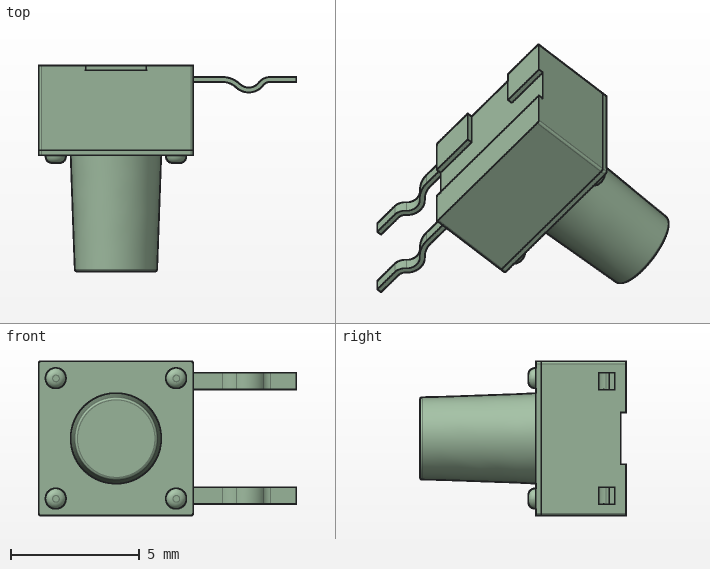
import cadquery as cq
import math


case_width = 6.0
case_depth = 3.5
cover_thickness = 0.2
corner_radius = 0.1
housing_depth = case_depth - cover_thickness
cover_front_y = -case_depth

recess_depth = 0.2
channel_height = 2.0
top_notch_width = 2.36

rivet_diameter = 0.8
rivet_height = 0.3
rivet_round = 0.27
rivet_spacing = 4.67

button_base_diameter = 3.52
button_tip_diameter = 3.2
button_length = 4.5
button_tip_round = 0.1

lead_length = 4.0
lead_thickness = 0.2
lead_width = 0.66
lead_spacing = 4.44
lead_back_y = -0.45
lead_front_y = lead_back_y - lead_thickness

bump_start = 1.12
bump_height = 0.41
entry_radius = 0.8
crest_radius = 0.7
exit_radius = 0.35


def case_block(back_y, depth):
    """Square block with rounded corners that runs from back_y toward -Y."""
    return (
        cq.Workplane("XZ", origin=(0, back_y, 0))
        .rect(case_width, case_width)
        .extrude(depth)
        .edges("|Y")
        .fillet(corner_radius)
    )


def make_housing():
    """Block with a channel across its back and a notch from its top into that channel."""
    channel = cq.Workplane("XY").box(
        case_width, recess_depth, channel_height, centered=(True, False, True)
    )
    notch = cq.Workplane("XY").box(
        top_notch_width, recess_depth, case_width / 2, centered=(True, False, False)
    )
    to_back = (0, -recess_depth, 0)
    return case_block(0, housing_depth).cut(channel.translate(to_back)).cut(notch.translate(to_back))


def make_cover():
    """Front plate with four domed rivet heads."""
    rivets = (
        cq.Workplane("XZ", origin=(0, cover_front_y, 0))
        .rarray(rivet_spacing, rivet_spacing, 2, 2)
        .circle(rivet_diameter / 2)
        .extrude(rivet_height)
        .faces("<Y")
        .edges()
        .fillet(rivet_round)
    )
    return case_block(-housing_depth, cover_thickness).union(rivets)


def make_button():
    """Tapered round button with a rounded tip."""
    taper = math.degrees(math.atan2((button_base_diameter - button_tip_diameter) / 2, button_length))
    return (
        cq.Workplane("XZ", origin=(0, cover_front_y, 0))
        .circle(button_base_diameter / 2)
        .extrude(button_length, taper=taper)
        .faces("<Y")
        .edges()
        .fillet(button_tip_round)
    )


def make_lead(center_z):
    """Flat strip with a bump toward -Y, made of three tangent arcs."""
    entry_angle = math.acos(1 - bump_height / (entry_radius + crest_radius))
    exit_angle = math.acos(1 - bump_height / (exit_radius + crest_radius))
    entry_x = case_width / 2 + bump_start
    crest_x = entry_x + (entry_radius + crest_radius) * math.sin(entry_angle)
    exit_x = crest_x + (exit_radius + crest_radius) * math.sin(exit_angle)
    crest_center_y = lead_front_y - bump_height + crest_radius
    lead_end_x = case_width / 2 + lead_length

    def on_entry(angle, offset):
        """Point on the entry bend, offset from the front face toward the back face."""
        radius = entry_radius + offset
        return (entry_x + radius * math.sin(angle), lead_front_y - entry_radius + radius * math.cos(angle))

    def on_crest(offset):
        """Point at the crest of the bump."""
        return (crest_x, crest_center_y - crest_radius + offset)

    def on_exit(angle, offset):
        """Point on the exit bend."""
        radius = exit_radius + offset
        return (exit_x - radius * math.sin(angle), lead_front_y - exit_radius + radius * math.cos(angle))

    return (
        cq.Workplane("XY", origin=(0, 0, center_z - lead_width / 2))
        .moveTo(case_width / 2, lead_front_y)
        .lineTo(entry_x, lead_front_y)
        .threePointArc(on_entry(entry_angle / 2, 0), on_entry(entry_angle, 0))
        .threePointArc(on_crest(0), on_exit(exit_angle, 0))
        .threePointArc(on_exit(exit_angle / 2, 0), on_exit(0, 0))
        .lineTo(lead_end_x, lead_front_y)
        .lineTo(lead_end_x, lead_back_y)
        .lineTo(exit_x, lead_back_y)
        .threePointArc(on_exit(exit_angle / 2, lead_thickness), on_exit(exit_angle, lead_thickness))
        .threePointArc(on_crest(lead_thickness), on_entry(entry_angle, lead_thickness))
        .threePointArc(on_entry(entry_angle / 2, lead_thickness), on_entry(0, lead_thickness))
        .lineTo(case_width / 2, lead_back_y)
        .close()
        .extrude(lead_width)
    )


housing = make_housing()
cover = make_cover()
button = make_button()
leads = [make_lead(side * lead_spacing / 2) for side in (-1, 1)]

result = cq.Compound.makeCompound(
    [housing.val(), cover.val(), button.val(), *[lead.val() for lead in leads]]
)